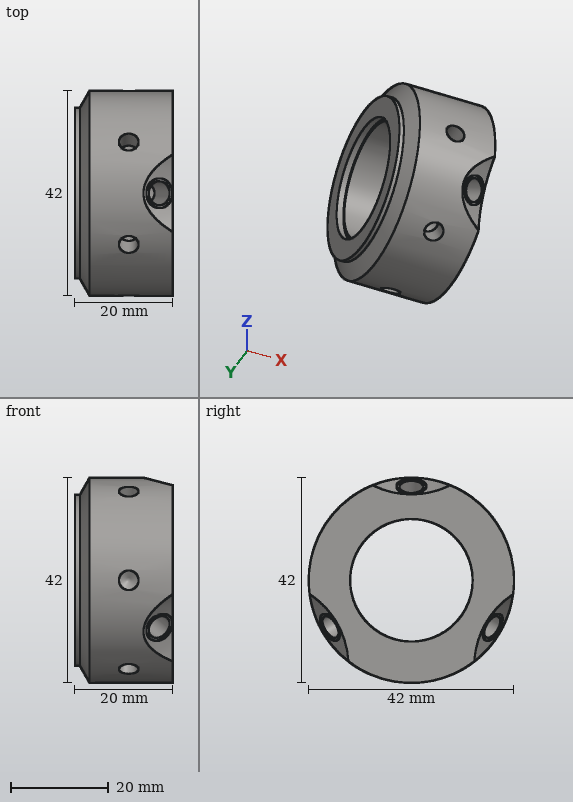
import cadquery as cq
import math

length = 20.0
outer_diameter = 42.0
collar_diameter = 35.0
collar_length = 1.0
cone_end = 3.0
bore_diameter = 25.0
recess_diameter = 26.0
recess_depth = 1.5

pin_hole_count = 6
pin_hole_diameter = 4.0
pin_hole_depth = 5.0
pin_hole_x = 11.0
drill_point_angle = 118.0

seat_count = 3
seat_tilt = 30.0
seat_start_x = 14.0
scallop_radius = 20.0
screw_offset = 3.75
screw_hole_diameter = 4.92
spotface_diameter = 6.1
spotface_depth = 0.05

outer_radius = outer_diameter / 2
bore_radius = bore_diameter / 2
clearance = 10.0


def make_ring():
    """Turned ring with a conical shoulder, a thin collar and a recessed bore."""
    profile = [
        (0, recess_diameter / 2),
        (0, collar_diameter / 2),
        (collar_length, collar_diameter / 2),
        (cone_end, outer_radius),
        (length, outer_radius),
        (length, bore_radius),
        (recess_depth, bore_radius),
        (recess_depth, recess_diameter / 2),
    ]
    return cq.Workplane("XY").polyline(profile).close().revolve(360, (0, 0, 0), (1, 0, 0))


def make_pin_hole():
    """Blind drilled hole entering from the top, with a conical drill point."""
    radius = pin_hole_diameter / 2
    floor_z = outer_radius - pin_hole_depth
    point_depth = radius / math.tan(math.radians(drill_point_angle / 2))
    profile = [
        (0, floor_z - point_depth),
        (radius, floor_z),
        (radius, outer_radius + clearance),
        (0, outer_radius + clearance),
    ]
    drill = cq.Workplane("XZ").polyline(profile).close().revolve(360, (0, 0, 0), (0, 1, 0))
    return drill.translate((pin_hole_x, 0, 0))


def make_seat_cutter():
    """Scallop sloping down towards +X, with a spotfaced hole square to its floor."""
    scallop = (
        cq.Workplane("YZ")
        .center(0, scallop_radius)
        .circle(scallop_radius)
        .extrude(length, both=True)
    )
    spotface = (
        cq.Workplane("XY", origin=(screw_offset, 0, -spotface_depth))
        .circle(spotface_diameter / 2)
        .extrude(clearance)
    )
    screw_hole = (
        cq.Workplane("XY", origin=(screw_offset, 0, -bore_radius))
        .circle(screw_hole_diameter / 2)
        .extrude(bore_radius + clearance)
    )
    cutter = scallop.union(spotface).union(screw_hole)
    cutter = cutter.rotate((0, 0, 0), (0, 1, 0), seat_tilt)
    return cutter.translate((seat_start_x, 0, outer_radius))


def cut_around_axis(body, cutter, count):
    """Cut evenly spaced copies of a cutter around the X axis, the first one at the top."""
    for index in range(count):
        body = body.cut(cutter.rotate((0, 0, 0), (1, 0, 0), index * 360 / count))
    return body


def make_pin_holes(body):
    """Radial holes, spaced so that two of them lie along the Y axis."""
    first_hole = make_pin_hole().rotate((0, 0, 0), (1, 0, 0), 180 / pin_hole_count)
    return cut_around_axis(body, first_hole, pin_hole_count)


result = make_ring()
result = make_pin_holes(result)
result = cut_around_axis(result, make_seat_cutter(), seat_count)